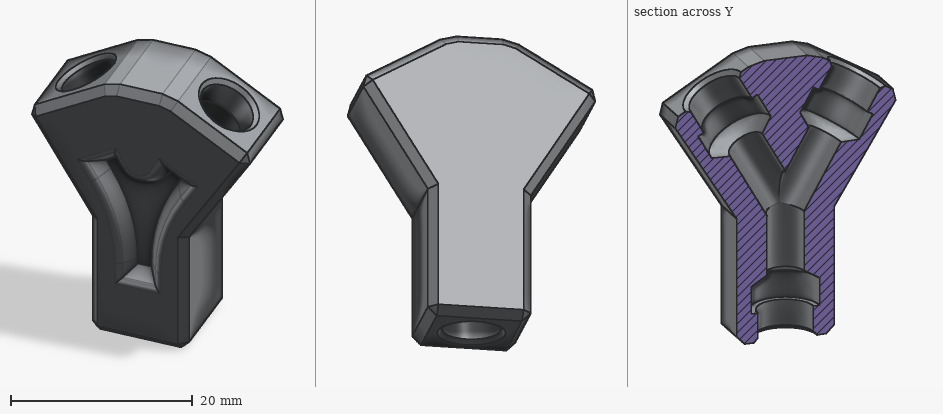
import cadquery as cq
import math

height = 32.88
thickness = 11.5
neck_height = 14.8
crown_half_width = 3.52
port_tilt = 30.0
edge_chamfer = 1.0

mouth_diameter = 6.5
mouth_chamfer = 0.5
mouth_depth = 3.5
chamber_diameter = 8.0
chamber_depth = 6.6
bore_diameter = 4.3
bore_start_depth = 7.73

recess_depth = 2.0
recess_taper = 35.0
recess_setback = 7.73
recess_foot = 7.63
recess_foot_width = 4.45
recess_rim_radius = 1.0
recess_side_radius = 19.4
recess_nose_radius = 1.97

sin_tilt = math.sin(math.radians(port_tilt))
cos_tilt = math.cos(math.radians(port_tilt))
half_neck = thickness / 2
half_bore = bore_diameter / 2

port_x = crown_half_width + half_neck * cos_tilt
port_z = height - half_neck * sin_tilt
junction_z = port_z - port_x * cos_tilt / sin_tilt
upper_axis_length = port_x / sin_tilt

shoulder_x = crown_half_width + thickness * cos_tilt
shoulder_z = height - thickness * sin_tilt
flank_slope = (shoulder_z - neck_height) / (shoulder_x - half_neck)


def front_plane(y):
    """Plane facing -Y at the given depth, with local axes X and Z."""
    return cq.Workplane("XZ", origin=(0, y, 0))


def mirrored(right_points, centre_points=()):
    """Join a right-hand chain of points to its mirror image about X = 0."""
    left_points = [(-x, z) for x, z in reversed(right_points)]
    return right_points + list(centre_points) + left_points


def make_body():
    """Solid neck and head, chamfered all round."""
    outline = mirrored(
        [(half_neck, 0), (half_neck, neck_height), (shoulder_x, shoulder_z), (crown_half_width, height)]
    )
    body = front_plane(half_neck).polyline(outline).close().extrude(thickness)
    corners = body.edges("|Y").filter(lambda edge: abs(edge.Center().z - neck_height) > edge_chamfer)
    return body.edges("#Y").add(corners).chamfer(edge_chamfer)


def port_cutter(axis_length):
    """Stepped hole along -Z with its mouth at the origin."""
    mouth_radius = mouth_diameter / 2
    chamber_radius = chamber_diameter / 2
    profile = [
        (0, 0),
        (mouth_radius + mouth_chamfer, 0),
        (mouth_radius, -mouth_chamfer),
        (mouth_radius, -mouth_depth),
        (chamber_radius, -mouth_depth),
        (chamber_radius, -chamber_depth),
        (half_bore, -bore_start_depth),
        (half_bore, -axis_length),
        (0, -axis_length),
    ]
    return cq.Workplane("XZ").polyline(profile).close().revolve()


def cut_ports(body):
    """Three equal ports, two above and one below, whose bores meet inside the part."""
    for side in (1, -1):
        cutter = port_cutter(upper_axis_length).rotate((0, 0, 0), (0, 1, 0), side * port_tilt)
        body = body.cut(cutter.translate((side * port_x, 0, port_z)))
    half_turn = 180
    bottom_cutter = port_cutter(junction_z).rotate((0, 0, 0), (1, 0, 0), half_turn)
    return body.cut(bottom_cutter)


def edges_at(prism, z):
    """Edges along Y that sit at height z."""
    height_tolerance = 0.003
    return prism.edges("|Y").filter(lambda edge: abs(edge.Center().z - z) < height_tolerance)


def recess_outline():
    """Recess outline on the front face, ignoring its rounded rim."""
    half_foot = recess_foot_width / 2
    end_x = port_x - recess_setback * sin_tilt
    end_z = port_z - recess_setback * cos_tilt
    outer_end = (end_x + half_bore * cos_tilt, end_z - half_bore * sin_tilt)
    inner_end = (end_x - half_bore * cos_tilt, end_z + half_bore * sin_tilt)
    nose_z = junction_z + half_bore / sin_tilt
    bend_z = outer_end[1] - (outer_end[0] - half_foot) * flank_slope
    right_side = [(half_foot, recess_foot), (half_foot, bend_z), outer_end, inner_end]
    outline = mirrored(right_side, [(0, nose_z)])
    prism = front_plane(-half_neck + recess_depth).polyline(outline).close().extrude(recess_depth)
    prism = edges_at(prism, nose_z).fillet(recess_nose_radius)
    prism = edges_at(prism, bend_z).fillet(recess_side_radius)
    return prism.faces("<Y").wires().val()


def cut_recess(body):
    """Recess with tapered walls and a rounded rim."""
    inward = cq.Vector(0, recess_depth, 0)
    recess = cq.Solid.extrudeLinear(recess_outline(), [], inward, recess_taper)
    body = body.cut(cq.Workplane(obj=recess))
    rim = body.faces("<Y").val().innerWires()[0]
    return body.newObject(rim.Edges()).fillet(recess_rim_radius)


result = cut_ports(cut_recess(make_body()))